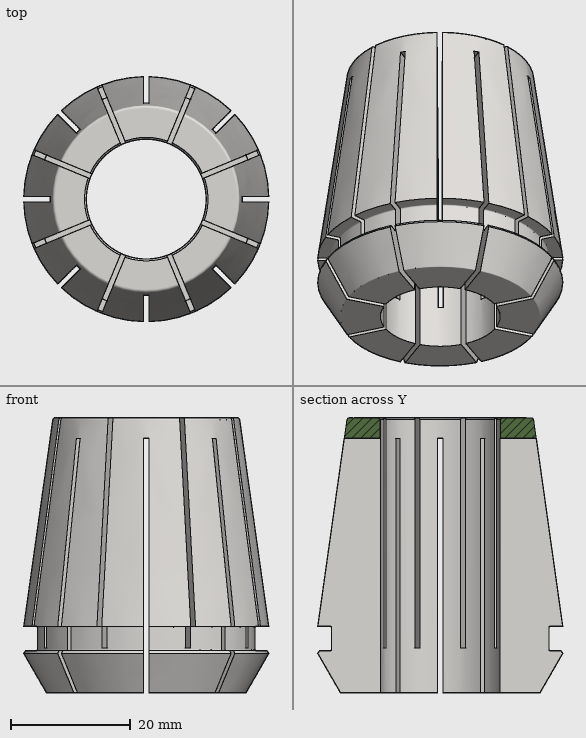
import cadquery as cq
import math

height = 46.0
flange_height = 7.05
rim_height = 0.45
groove_top = 11.1
nose_slit_floor = 7.5
flange_slit_end = 42.5

outer_radius = 20.495
groove_radius = 18.2
rim_inset = 0.3
bore_radius = 20.0 / 2
body_half_angle = 8.0
flange_half_angle = 30.0

nose_fillet = 0.5
bore_chamfer = 0.3
groove_fillet = 0.2
base_fillet = 0.15

slit_width = 0.87
slit_reach = 23.0
slits_per_end = 8
slit_pitch = 360.0 / slits_per_end

rim_bottom = flange_height - rim_height
base_radius = outer_radius - rim_bottom * math.tan(math.radians(flange_half_angle))
nose_radius = outer_radius - (height - groove_top) * math.tan(math.radians(body_half_angle))


def make_body():
    """Revolve the solid profile: flange cone, nut groove and tapered body."""
    profile = (
        cq.Workplane("XZ")
        .moveTo(0, 0)
        .lineTo(base_radius, 0)
        .lineTo(outer_radius, rim_bottom)
        .lineTo(outer_radius - rim_inset, flange_height)
        .lineTo(groove_radius + groove_fillet, flange_height)
        .radiusArc((groove_radius, flange_height + groove_fillet), groove_fillet)
        .lineTo(groove_radius, groove_top - groove_fillet)
        .radiusArc((groove_radius + groove_fillet, groove_top), groove_fillet)
        .lineTo(outer_radius, groove_top)
        .lineTo(nose_radius, height)
        .lineTo(0, height)
        .close()
    )
    body = profile.revolve(360, (0, 0, 0), (0, 1, 0))
    body = body.faces(">Z").edges().fillet(nose_fillet)
    body = body.faces("<Z").edges().fillet(base_fillet)
    return body


def cut_bore(body):
    """Cut the through bore and break its edge at the small end."""
    bore = cq.Workplane("XY").circle(bore_radius).extrude(height)
    countersink = (
        cq.Workplane("XY", origin=(0, 0, height - bore_chamfer))
        .circle(bore_radius)
        .workplane(offset=bore_chamfer)
        .circle(bore_radius + bore_chamfer)
        .loft()
    )
    return body.cut(bore).cut(countersink)


def cut_slits(body, bottom, top, first_angle):
    """Cut radial slits, evenly spaced around the axis, between two heights."""
    for i in range(slits_per_end):
        slit = (
            cq.Workplane("XY", origin=(0, 0, bottom))
            .box(slit_reach, slit_width, top - bottom, centered=(False, True, False))
            .rotate((0, 0, 0), (0, 0, 1), first_angle + i * slit_pitch)
        )
        body = body.cut(slit)
    return body


result = cut_bore(make_body())
result = cut_slits(result, 0, flange_slit_end, 0)
result = cut_slits(result, nose_slit_floor, height, slit_pitch / 2)